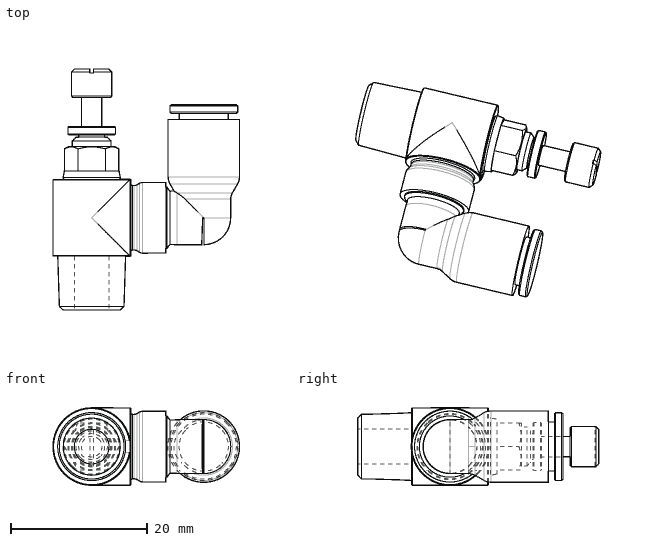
import cadquery as cq
import math

overall_length = 35.4
overall_width = 27.4

rim_reach = 0.05

body_radius = 5.7
body_half_length = 5.63
body_chamfer = 0.1
branch_end_x = 5.75

male_end_y = -13.55
male_base_radius = 5.0
male_taper = 1 / 32
male_chamfer_length = 0.55
male_tip_radius = 4.18
bore_radius = 2.55

collar_rim_y = 5.9
collar_top_y = 6.85
collar_base_radius = 4.1
collar_rim_radius = 4.2
collar_top_radius = 4.05
hex_top_y = 10.48
hex_across_flats = 6.95
hex_crown_radius = 3.35
hex_crown_angle = 30
bonnet_radius = 2.85
bonnet_chamfer_y = 11.25
bonnet_top_y = 11.82
bonnet_top_radius = 2.3

neck_radius = 1.9
ring_radius = 3.5
ring_bottom_y = 12.15
ring_top_y = 13.4
ring_chamfer = 0.15
stem_diameter = 3.0
knob_radius = 2.97
knob_bottom_y = 17.63
knob_top_y = overall_length + male_end_y
knob_top_chamfer = 0.45
knob_bottom_chamfer = 0.2
slot_width = 0.53
slot_depth = 0.55

groove_radius = 4.75
groove_mouth_radius = 4.85
groove_start_x = 6.02
sleeve_cone_start_x = 6.48
sleeve_cone_end_x = 7.22
sleeve_blend_radius = 0.85
sleeve_radius = 5.2
sleeve_end_x = 10.87
shoulder_radius = 4.5
shoulder_x = 11.05
pipe_neck_x = 11.47
pipe_neck_radius = 3.93
pipe_start_x = 12.53

pipe_radius = 3.95
gap_inner_width = 0.15
gap_outer_width = 0.3
cone_start_y = 3.22
cone_end_y = 5.45
cone_start_blend = 1.77
cone_end_blend = 2.12
socket_diameter = 10.5
socket_radius = socket_diameter / 2
elbow_x = overall_width - body_radius - socket_radius
socket_top_y = 14.45
release_neck_radius = 3.6
release_radius = 5.0
release_bottom_y = 15.3
release_top_y = 16.6
release_chamfer = 0.2


def turned_y(profile, axis_x=0):
    """Revolve (radius, y) points about an axis parallel to Y."""
    first_y = profile[0][1]
    last_y = profile[-1][1]
    points = [(0, first_y)] + profile + [(0, last_y)]
    solid = cq.Workplane("XY").polyline(points).close().revolve(360, (0, 0), (0, 1))
    return solid.translate((axis_x, 0, 0))


def disc_y(radius, bottom, top, bottom_chamfer, top_chamfer, axis_x=0):
    """Disc along Y with chamfered rims."""
    return turned_y(
        [
            (radius - bottom_chamfer, bottom),
            (radius, bottom + bottom_chamfer),
            (radius, top - top_chamfer),
            (radius - top_chamfer, top),
        ],
        axis_x,
    )


def cylinder_y(radius, bottom, top, axis_x=0):
    return turned_y([(radius, bottom), (radius, top)], axis_x)


def make_body():
    barrel = disc_y(body_radius, -body_half_length, body_half_length, body_chamfer, body_chamfer)
    branch = cq.Workplane("YZ").circle(body_radius).extrude(branch_end_x)
    branch = branch.faces(">X").chamfer(body_chamfer)
    return barrel.union(branch)


def make_male_end():
    chamfer_y = male_end_y + male_chamfer_length
    taper_length = -body_half_length - chamfer_y
    return turned_y(
        [
            (male_tip_radius, male_end_y),
            (male_base_radius - male_taper * taper_length, chamfer_y),
            (male_base_radius, -body_half_length),
            (male_base_radius, 0),
        ]
    )


def make_hex():
    corner_radius = hex_across_flats / math.sqrt(3)
    height = hex_top_y - collar_top_y
    prism = (
        cq.Workplane("XZ", origin=(0, hex_top_y, 0))
        .polygon(6, 2 * corner_radius)
        .extrude(height)
    )
    crown_drop = (corner_radius - hex_crown_radius) * math.tan(math.radians(hex_crown_angle))
    crown = turned_y(
        [
            (corner_radius, collar_top_y),
            (corner_radius, hex_top_y - crown_drop),
            (hex_crown_radius, hex_top_y),
        ]
    )
    return prism.intersect(crown)


def make_bonnet():
    collar = turned_y(
        [
            (collar_base_radius, 0),
            (collar_base_radius, body_half_length),
            (collar_rim_radius, collar_rim_y),
            (collar_top_radius, collar_top_y),
        ]
    )
    boss = turned_y(
        [
            (bonnet_radius, hex_top_y),
            (bonnet_radius, bonnet_chamfer_y),
            (bonnet_top_radius, bonnet_top_y),
        ]
    )
    return collar.union(make_hex()).union(boss)


def make_needle():
    neck = cylinder_y(neck_radius, bonnet_top_y, ring_bottom_y)
    ring = disc_y(ring_radius, ring_bottom_y, ring_top_y, ring_chamfer, ring_chamfer)
    stem = cylinder_y(stem_diameter / 2, ring_top_y, knob_bottom_y)
    knob = disc_y(knob_radius, knob_bottom_y, knob_top_y, knob_bottom_chamfer, knob_top_chamfer)
    slot = cq.Workplane("XY").box(slot_width, 2 * slot_depth, 2 * knob_radius)
    knob = knob.cut(slot.translate((0, knob_top_y, 0)))
    return neck.union(ring).union(stem).union(knob)


def make_swivel():
    """Grooved sleeve and pipe along the branch axis, up to the elbow."""
    profile = [
        (0, 0),
        (0, groove_mouth_radius),
        (branch_end_x, groove_mouth_radius),
        (groove_start_x, groove_radius),
        (sleeve_cone_start_x, groove_radius),
        (sleeve_cone_end_x, sleeve_radius),
        (sleeve_end_x, sleeve_radius),
        (sleeve_end_x, shoulder_radius),
        (shoulder_x, shoulder_radius),
        (pipe_neck_x, pipe_neck_radius),
        (pipe_start_x, pipe_radius),
        (elbow_x, pipe_radius),
        (elbow_x, 0),
    ]
    swivel = cq.Workplane("XY").polyline(profile).close().revolve(360, (0, 0), (1, 0))
    for x in (sleeve_cone_start_x, sleeve_cone_end_x):
        rim = cq.selectors.BoxSelector(
            (x - rim_reach, -sleeve_radius, -sleeve_radius),
            (x + rim_reach, sleeve_radius, sleeve_radius),
        )
        swivel = swivel.edges(rim).fillet(sleeve_blend_radius)
    gap = (
        cq.Workplane("XY", origin=(0, 0, -pipe_radius))
        .polyline(
            [
                (elbow_x, 0),
                (elbow_x, -pipe_radius),
                (elbow_x - gap_outer_width, -pipe_radius),
                (elbow_x - gap_inner_width, 0),
            ]
        )
        .close()
        .extrude(2 * pipe_radius)
    )
    return swivel.cut(gap)


def make_elbow():
    """Quarter of a sphere that rounds off the outer corner of the elbow."""
    arc_middle = pipe_radius * math.sqrt(0.5)
    dome = (
        cq.Workplane("XY")
        .lineTo(pipe_radius, 0)
        .threePointArc((arc_middle, arc_middle), (0, pipe_radius))
        .close()
        .revolve(180, (0, 0), (1, 0))
    )
    dome = dome.rotate((0, 0, 0), (1, 0, 0), 90)
    return dome.translate((elbow_x, 0, 0))


def make_socket():
    socket = turned_y(
        [
            (pipe_radius, 0),
            (pipe_radius, cone_start_y),
            (socket_radius, cone_end_y),
            (socket_radius, socket_top_y),
        ],
        elbow_x,
    )
    for y, blend in ((cone_start_y, cone_start_blend), (cone_end_y, cone_end_blend)):
        rim = cq.selectors.BoxSelector(
            (elbow_x - socket_radius, y - rim_reach, -socket_radius),
            (elbow_x + socket_radius, y + rim_reach, socket_radius),
        )
        socket = socket.edges(rim).fillet(blend)
    neck = cylinder_y(release_neck_radius, socket_top_y, release_bottom_y, elbow_x)
    release = disc_y(
        release_radius, release_bottom_y, release_top_y, release_chamfer, release_chamfer, elbow_x
    )
    return socket.union(neck).union(release)


result = make_body()
for piece in (
    make_male_end(),
    make_bonnet(),
    make_needle(),
    make_swivel(),
    make_socket(),
    make_elbow(),
):
    result = result.union(piece)

result = result.cut(cylinder_y(bore_radius, male_end_y, -body_half_length))